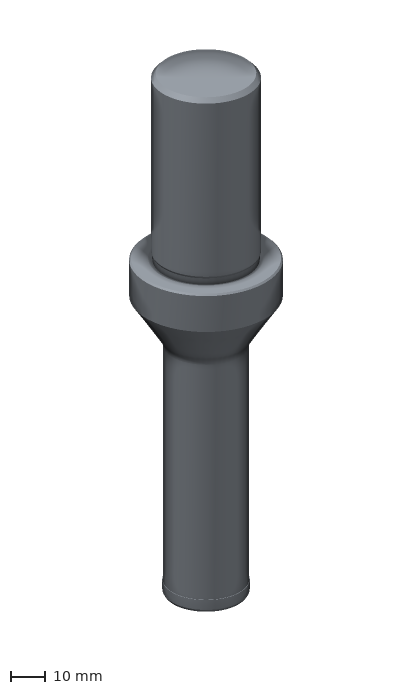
import cadquery as cq

total_length = 170.8

head_radius = 12.6
head_height = 4.6
tip_radius = 9.9
tip_rise = 0.5
corner_inset = 0.5
corner_top_z = 1.4

rod_radius = 12.5
blend_start_z = 81.8
cone_bottom_z = 84.0
cone_bottom_radius = 13.2

collar_radius = 22.2
collar_bottom_z = 97.9
collar_top_z = 110.2
collar_chamfer = 0.5

shank_radius = 15.9
shank_bottom_z = 112.5
shank_chamfer = 1.4
neck_radius = 15.5
undercut_radius = 16.7
undercut_depth = 0.3
undercut_slope_height = 0.7
undercut_floor_z = collar_top_z - undercut_depth


def make_head():
    """Short disc with a shallow conical end face and a bevelled corner."""
    return (
        cq.Workplane("XZ")
        .moveTo(0, 0)
        .lineTo(tip_radius, 0)
        .lineTo(head_radius - corner_inset, tip_rise)
        .lineTo(head_radius, corner_top_z)
        .lineTo(head_radius, head_height)
        .lineTo(0, head_height)
        .close()
        .revolve(360, (0, 0), (0, 1))
    )


def make_holder():
    """Rod, cone, collar and shank turned from one profile."""
    return (
        cq.Workplane("XZ")
        .moveTo(0, head_height)
        .lineTo(rod_radius, head_height)
        .lineTo(rod_radius, blend_start_z)
        .tangentArcPoint((cone_bottom_radius, cone_bottom_z), relative=False)
        .lineTo(collar_radius, collar_bottom_z)
        .lineTo(collar_radius, collar_top_z - collar_chamfer)
        .lineTo(collar_radius - collar_chamfer, collar_top_z)
        .lineTo(undercut_radius, collar_top_z)
        .lineTo(neck_radius, undercut_floor_z)
        .lineTo(neck_radius, shank_bottom_z - undercut_slope_height)
        .lineTo(shank_radius, shank_bottom_z)
        .lineTo(shank_radius, total_length - shank_chamfer)
        .lineTo(shank_radius - shank_chamfer, total_length)
        .lineTo(0, total_length)
        .close()
        .revolve(360, (0, 0), (0, 1))
    )


head = make_head()
holder = make_holder()

result = cq.Compound.makeCompound([head.val(), holder.val()])